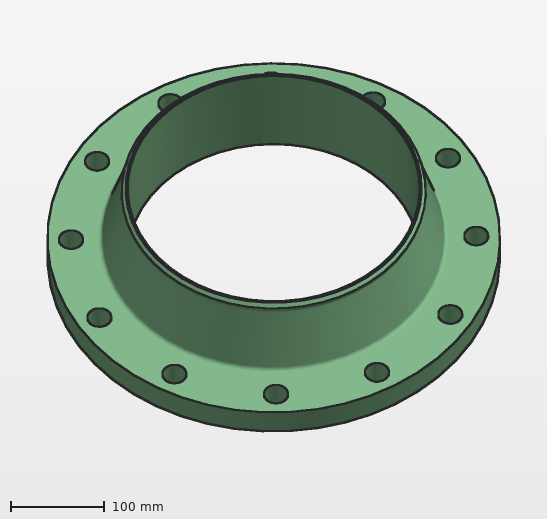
import cadquery as cq

flange_diameter = 482.5
flange_thickness = 32.0
total_height = 114.5

bore_diameter = 311.0
neck_diameter = 324.0
hub_diameter = 365.5
weld_land_height = 10.0
weld_bevel = 4.5
hub_fillet = 5.0

bolt_count = 12
bolt_circle_diameter = 432.0
bolt_hole_diameter = 25.5


def make_flange_plate():
    return cq.Workplane("XY").circle(flange_diameter / 2).extrude(flange_thickness)


def make_hub():
    """Solid hub: cone, straight neck and weld bevel, starting inside the flange."""
    hub_radius = hub_diameter / 2
    neck_radius = neck_diameter / 2
    profile = (
        cq.Workplane("XZ")
        .moveTo(0, 0)
        .lineTo(hub_radius, 0)
        .lineTo(hub_radius, flange_thickness)
        .lineTo(neck_radius, total_height - weld_land_height)
        .lineTo(neck_radius, total_height - weld_bevel)
        .lineTo(neck_radius - weld_bevel, total_height)
        .lineTo(0, total_height)
        .close()
    )
    return profile.revolve(360, (0, 0, 0), (0, 1, 0))


def fillet_hub_base(body):
    """Round the inner corner between the cone and the top of the flange."""
    reach = hub_diameter / 2 + hub_fillet / 2
    corner_box = cq.selectors.BoxSelector(
        (-reach, -reach, flange_thickness - hub_fillet / 2),
        (reach, reach, flange_thickness + hub_fillet / 2),
        boundingbox=True,
    )
    return body.edges(corner_box).fillet(hub_fillet)


def cut_bore(body):
    bore = cq.Workplane("XY").circle(bore_diameter / 2).extrude(total_height)
    return body.cut(bore)


def cut_bolt_holes(body):
    """Through holes evenly spaced on the bolt circle, the first one on +X."""
    holes = (
        cq.Workplane("XY")
        .polarArray(bolt_circle_diameter / 2, 0, 360, bolt_count)
        .circle(bolt_hole_diameter / 2)
        .extrude(flange_thickness)
    )
    return body.cut(holes)


body = make_flange_plate().union(make_hub())
body = fillet_hub_base(body)
body = cut_bore(body)
result = cut_bolt_holes(body)